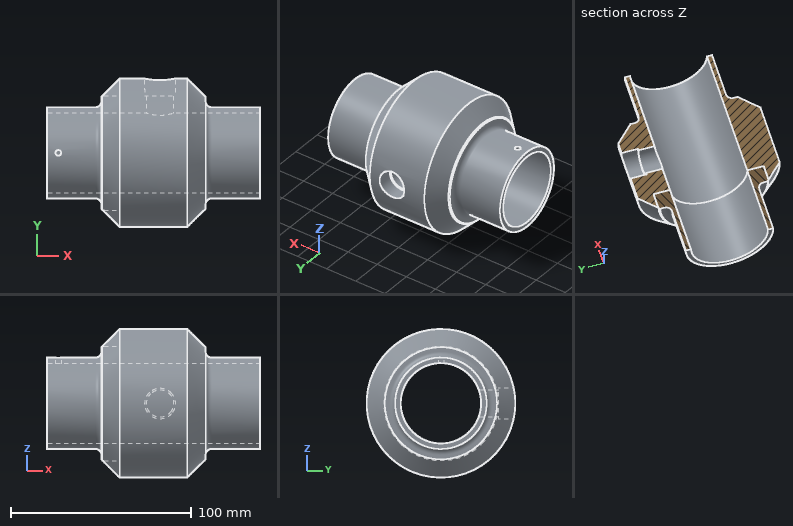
import cadquery as cq

INCH = 25.4

BODY_LENGTH = 2.28 * INCH
NECK_LENGTH = 1.1875 * INCH
SHOULDER_X = BODY_LENGTH / 2
END_X = SHOULDER_X + NECK_LENGTH

BODY_RADIUS = 82.55 / 2
NECK_RADIUS = 50.8 / 2
BORE_RADIUS = 44.45 / 2
INSERT_RADIUS = 63.5 / 2

BODY_CHAMFER = 0.4 * INCH
RIGHT_CONE_LENGTH = 10.3
NECK_FILLET = 0.125 * INCH
SHOULDER_RADIUS = BODY_RADIUS - BODY_CHAMFER
INSERT_CHAMFER = INSERT_RADIUS - SHOULDER_RADIUS
BARREL_LEFT_X = -SHOULDER_X + BODY_CHAMFER
BARREL_RIGHT_X = SHOULDER_X - RIGHT_CONE_LENGTH
SEAT_X = BARREL_LEFT_X
RIM_X = -SHOULDER_X + INSERT_CHAMFER

STEM_HOLE_RADIUS = 15.08 / 2
STEM_MOUTH_RADIUS = 17.0 / 2
STEM_MOUTH_DEPTH = (BODY_RADIUS - BORE_RADIUS) / 2
STEM_HOLE_X = 3.5
VENT_HOLE_RADIUS = 3.17 / 2
VENT_HOLE_INSET = 0.25 * INCH


def fillet_mid_point(side):
    """Middle of the neck fillet arc; side is -1 for the left neck and +1 for the right."""
    reach = NECK_FILLET * (1 - 0.5 ** 0.5)
    return side * (SHOULDER_X + reach), NECK_RADIUS + reach


def revolve_about_x(profile):
    """Close an (x, radius) profile and turn it around the X axis."""
    return profile.close().revolve(360, (0, 0, 0), (1, 0, 0))


def make_housing():
    """Barrel with its right neck, and a seat for the insert at the left."""
    profile = (
        cq.Workplane("XY")
        .moveTo(END_X, BORE_RADIUS)
        .lineTo(END_X, NECK_RADIUS)
        .lineTo(SHOULDER_X + NECK_FILLET, NECK_RADIUS)
        .threePointArc(fillet_mid_point(1), (SHOULDER_X, NECK_RADIUS + NECK_FILLET))
        .lineTo(SHOULDER_X, SHOULDER_RADIUS)
        .lineTo(BARREL_RIGHT_X, BODY_RADIUS)
        .lineTo(BARREL_LEFT_X, BODY_RADIUS)
        .lineTo(RIM_X, INSERT_RADIUS)
        .lineTo(SEAT_X, INSERT_RADIUS)
        .lineTo(SEAT_X, BORE_RADIUS)
    )
    stem_hole = (
        cq.Workplane("XZ")
        .center(STEM_HOLE_X, 0)
        .circle(STEM_HOLE_RADIUS)
        .extrude(-BODY_RADIUS)
    )
    stem_mouth = (
        cq.Workplane("XZ", origin=(0, BODY_RADIUS, 0))
        .center(STEM_HOLE_X, 0)
        .circle(STEM_MOUTH_RADIUS)
        .extrude(STEM_MOUTH_DEPTH)
    )
    return revolve_about_x(profile).cut(stem_hole).cut(stem_mouth)


def make_insert():
    """Left neck with the flange that fills the seat of the housing."""
    profile = (
        cq.Workplane("XY")
        .moveTo(-END_X, BORE_RADIUS)
        .lineTo(-END_X, NECK_RADIUS)
        .lineTo(-SHOULDER_X - NECK_FILLET, NECK_RADIUS)
        .threePointArc(fillet_mid_point(-1), (-SHOULDER_X, NECK_RADIUS + NECK_FILLET))
        .lineTo(-SHOULDER_X, SHOULDER_RADIUS)
        .lineTo(RIM_X, INSERT_RADIUS)
        .lineTo(SEAT_X, INSERT_RADIUS)
        .lineTo(SEAT_X, BORE_RADIUS)
    )
    vent_hole = (
        cq.Workplane("XY")
        .center(-END_X + VENT_HOLE_INSET, 0)
        .circle(VENT_HOLE_RADIUS)
        .extrude(NECK_RADIUS)
    )
    return revolve_about_x(profile).cut(vent_hole)


housing = make_housing()
insert = make_insert()

result = cq.Compound.makeCompound([housing.val(), insert.val()])